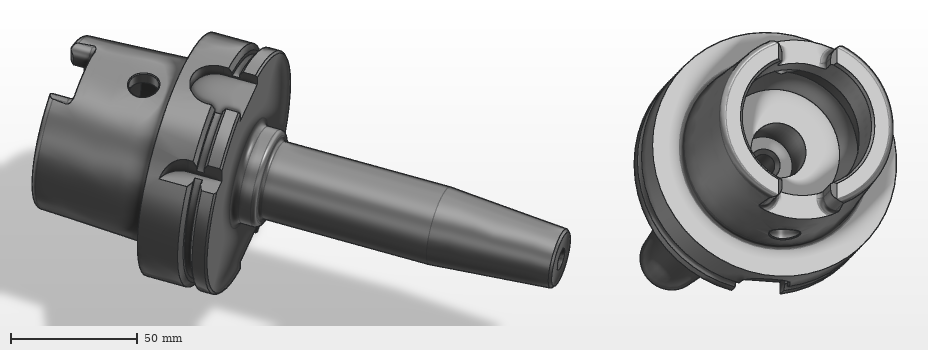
import cadquery as cq
import math


total_length = 210.0
flange_start = 50.0
flange_end = 79.0
collar_end = 88.6
tip_taper_start = 159.2

shank_base_radius = 37.8
shank_taper = 0.05
shank_relief_start = 47.5
shank_corner_radius = 1.3
nose_radius = 2.0

flange_radius = 100.0 / 2
flange_chamfer = 0.8
groove_center = 70.0
groove_mouth_width = 6.0
groove_floor_width = 3.2
groove_floor_radius = 46.0
groove_bevel_depth = 2.3

collar_radius = 40.0 / 2
collar_root_radius = 2.7
collar_edge_radius = 1.9
neck_radius = 32.0 / 2
neck_root_radius = 1.3
tip_radius = 12.2
tip_chamfer = 1.0

mouth_radius = 27.5
mouth_chamfer = 1.0
bore_radius = 53.0 / 2
shoulder_start = 19.7
bore_cone_angle = 60.0
undercut_radius = 63.0 / 2
undercut_end = 40.3
floor_radius = 50.0 / 2
tube_hole_radius = 22.5 / 2
tube_hole_floor = 65.0
coolant_mouth_radius = 12.5 / 2
coolant_radius = 8.8 / 2
drill_point_angle = 60.0

cross_hole_diameter = 12.0
cross_hole_x = 34.9
cross_hole_chamfer = 0.5

keyway_half_width = 20.0 / 2
keyway_flare_radius = 5.0
keyway_flat_height = 32.1
keyway_floor_radius = 2.0
keyway_entry_half_width = 12.0
keyway_entry_depth = 1.9
upper_keyway_depth = 10.0
lower_keyway_depth = 15.0

slot_width = 20.0
slot_start = 54.8
slot_floor_height = 43.9
notch_floor_height = 31.3
notch_wall_y = -31.7


def holder_body():
    """Solid of revolution: shank, flange with groove, collar, neck and tapered tip."""
    nose_flank_radius = shank_base_radius - shank_taper * (shank_relief_start - nose_radius)
    bend = math.sqrt(0.5)
    nose_face_radius = nose_flank_radius - nose_radius
    mouth_left = groove_center - groove_mouth_width / 2
    mouth_right = groove_center + groove_mouth_width / 2
    floor_left = groove_center - groove_floor_width / 2
    floor_right = groove_center + groove_floor_width / 2
    bevel_root_radius = flange_radius - groove_bevel_depth
    profile = (
        cq.Workplane("XY")
        .lineTo(0, nose_face_radius)
        .threePointArc(
            (nose_radius * (1 - bend), nose_face_radius + nose_radius * bend),
            (nose_radius, nose_flank_radius),
        )
        .lineTo(shank_relief_start, shank_base_radius)
        .lineTo(flange_start - shank_corner_radius, shank_base_radius)
        .radiusArc((flange_start, shank_base_radius + shank_corner_radius), -shank_corner_radius)
        .lineTo(flange_start, flange_radius)
        .lineTo(mouth_left, flange_radius)
        .lineTo(floor_left, bevel_root_radius)
        .lineTo(floor_left, groove_floor_radius)
        .lineTo(floor_right, groove_floor_radius)
        .lineTo(floor_right, bevel_root_radius)
        .lineTo(mouth_right, flange_radius)
        .lineTo(flange_end - flange_chamfer, flange_radius)
        .lineTo(flange_end, flange_radius - flange_chamfer)
        .lineTo(flange_end, collar_radius + collar_root_radius)
        .radiusArc((flange_end + collar_root_radius, collar_radius), -collar_root_radius)
        .lineTo(collar_end - collar_edge_radius, collar_radius)
        .radiusArc((collar_end, collar_radius - collar_edge_radius), collar_edge_radius)
        .lineTo(collar_end, neck_radius + neck_root_radius)
        .radiusArc((collar_end + neck_root_radius, neck_radius), -neck_root_radius)
        .lineTo(tip_taper_start, neck_radius)
        .lineTo(total_length - tip_chamfer, tip_radius)
        .lineTo(total_length, tip_radius - tip_chamfer)
        .lineTo(total_length, 0)
        .close()
    )
    return profile.revolve(360, (0, 0, 0), (1, 0, 0))


def stepped_bore():
    """Clamping bore with undercut, coolant tube hole and through coolant hole."""
    cone_slope = math.tan(math.radians(bore_cone_angle))
    shoulder_length = (undercut_radius - bore_radius) / cone_slope
    bore_floor = undercut_end + (undercut_radius - floor_radius) / cone_slope
    point_length = (coolant_mouth_radius - coolant_radius) / math.tan(math.radians(drill_point_angle))
    profile = (
        cq.Workplane("XY")
        .lineTo(0, mouth_radius)
        .lineTo(mouth_chamfer, bore_radius)
        .lineTo(shoulder_start, bore_radius)
        .lineTo(shoulder_start + shoulder_length, undercut_radius)
        .lineTo(undercut_end, undercut_radius)
        .lineTo(bore_floor, floor_radius)
        .lineTo(bore_floor, tube_hole_radius)
        .lineTo(tube_hole_floor, tube_hole_radius)
        .lineTo(tube_hole_floor, coolant_mouth_radius)
        .lineTo(tube_hole_floor + point_length, coolant_radius)
        .lineTo(total_length, coolant_radius)
        .lineTo(total_length, 0)
        .close()
    )
    return profile.revolve(360, (0, 0, 0), (1, 0, 0))


def keyway(depth):
    """Upper keyway cutter: parallel sides that flare outward near the shank surface."""
    flare_center_y = keyway_half_width + keyway_flare_radius
    flare_start = keyway_flat_height - keyway_flare_radius
    cutter_reach = flange_radius
    cutter = (
        cq.Workplane("YZ")
        .moveTo(-keyway_half_width, 0)
        .lineTo(-keyway_half_width, flare_start)
        .radiusArc((-flare_center_y, keyway_flat_height), -keyway_flare_radius)
        .lineTo(-cutter_reach, keyway_flat_height)
        .lineTo(-cutter_reach, cutter_reach)
        .lineTo(cutter_reach, cutter_reach)
        .lineTo(cutter_reach, keyway_flat_height)
        .lineTo(flare_center_y, keyway_flat_height)
        .radiusArc((keyway_half_width, flare_start), -keyway_flare_radius)
        .lineTo(keyway_half_width, 0)
        .close()
        .extrude(depth)
    )
    cutter = cutter.faces(">X").edges().fillet(keyway_floor_radius)
    entry_bevel = (
        cq.Workplane("XY")
        .moveTo(0, -keyway_entry_half_width)
        .lineTo(keyway_entry_depth, -keyway_half_width)
        .lineTo(keyway_entry_depth, keyway_half_width)
        .lineTo(0, keyway_entry_half_width)
        .close()
        .extrude(keyway_flat_height)
    )
    return cutter.union(entry_bevel)


def flange_slot(center_y, floor_height):
    """Round-ended slot open to the flange back face, cut down to floor_height."""
    end_radius = slot_width / 2
    straight_start = slot_start + end_radius
    return (
        cq.Workplane("XY", origin=(0, center_y, floor_height))
        .moveTo(flange_end, -end_radius)
        .lineTo(straight_start, -end_radius)
        .threePointArc((slot_start, 0), (straight_start, end_radius))
        .lineTo(flange_end, end_radius)
        .close()
        .extrude(flange_radius)
    )


def drill_cross_hole(body):
    """Drill the hole through both shank walls and chamfer its outer rims."""
    cutter = (
        cq.Workplane("XY", origin=(cross_hole_x, 0, -flange_radius))
        .circle(cross_hole_diameter / 2)
        .extrude(2 * flange_radius)
    )
    drilled = body.cut(cutter)
    for rim_side in (-1, 1):
        rim = cq.selectors.BoxSelector(
            (cross_hole_x - cross_hole_diameter, -cross_hole_diameter, rim_side * undercut_radius),
            (cross_hole_x + cross_hole_diameter, cross_hole_diameter, rim_side * flange_radius),
        )
        drilled = drilled.edges(rim).chamfer(cross_hole_chamfer)
    return drilled


upper_slot = flange_slot(0, slot_floor_height)
lower_slot = upper_slot.mirror("XY")
side_notch = flange_slot(notch_wall_y - slot_width / 2, notch_floor_height)

result = (
    drill_cross_hole(holder_body())
    .cut(stepped_bore())
    .cut(keyway(upper_keyway_depth))
    .cut(keyway(lower_keyway_depth).mirror("XY"))
    .cut(upper_slot)
    .cut(lower_slot)
    .cut(side_notch)
)